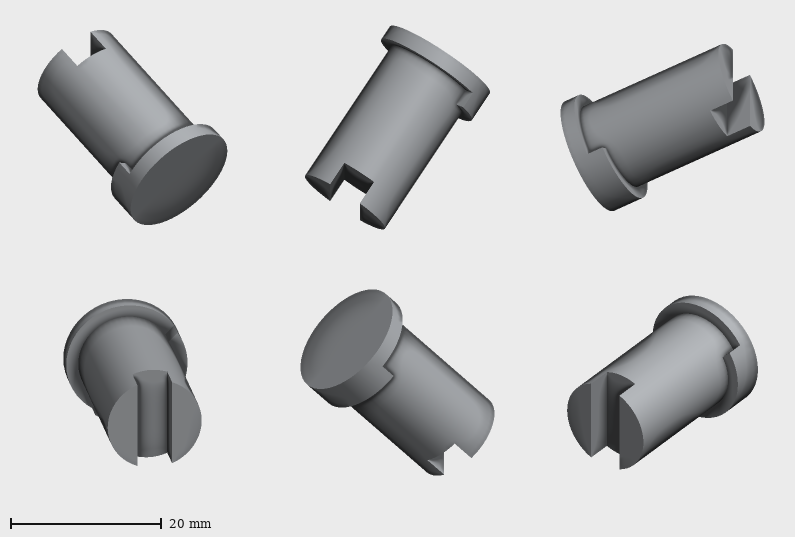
import cadquery as cq

total_length = 23.0
body_diameter = 12.7
flange_diameter = 15.95
flange_thickness = 2.1
step_height = 2.3
step_offset = 1.5
step_angle = 45.0
slot_width = 4.7
slot_depth = 3.45

flange_start = total_length - flange_thickness
step_start = flange_start - step_height


def cylinder_along_x(diameter, start, length):
    return cq.Workplane("YZ").workplane(offset=start).circle(diameter / 2).extrude(length)


def partial_collar():
    """Segment of the flange disc, beyond a flat facing away from -Y and -Z."""
    disc = cylinder_along_x(flange_diameter, step_start, step_height)
    block = (
        cq.Workplane("XY")
        .box(step_height, flange_diameter, flange_diameter, centered=(False, True, False))
        .translate((step_start, 0, -step_offset - flange_diameter))
        .rotate((0, 0, 0), (1, 0, 0), -step_angle)
    )
    return disc.intersect(block)


def driver_slot():
    """Slot across the free end, running through the body along Z."""
    return cq.Workplane("XY").box(
        slot_depth, slot_width, body_diameter, centered=(False, True, True)
    )


body = cylinder_along_x(body_diameter, 0, total_length)
flange = cylinder_along_x(flange_diameter, flange_start, flange_thickness)

result = body.union(flange).union(partial_collar()).cut(driver_slot())